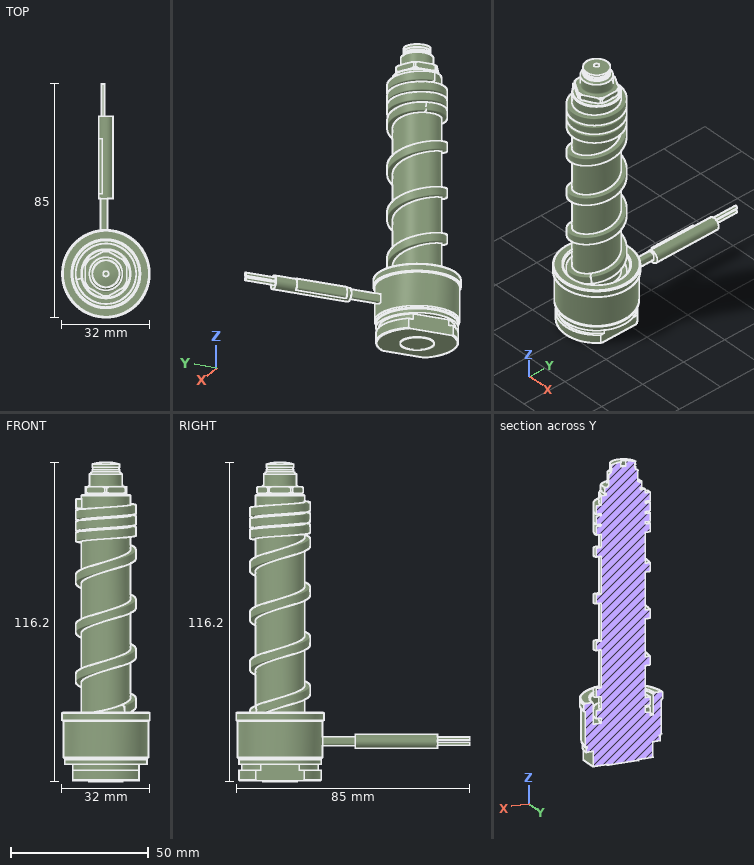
import cadquery as cq
import math

foot_height = 0.3
foot_radius = 6.2
base_radius = 15.0
base_chamfer = 0.3
flange_top = 4.2
groove_radius = 14.0
groove_top = 6.25
collar_top = 8.0
body_bottom = 8.35
body_radius = 15.5
body_chamfer = 0.5
rim_bottom = 22.0
rim_radius = 16.0
rim_chamfer = 0.4
housing_top = 25.25
flats_width = 24.2
bore_radius = 12.1
bore_chamfer = 0.5
bore_floor = 16.8

core_radius = 9.0
core_top = 104.2
core_chamfer = 0.3
neck_radius = 7.0
nut_bottom = 104.75
nut_top = 107.2
nut_flats_width = 15.0
nut_corner_diameter = 16.9
nut_chamfer = 0.4
stem_radius = 6.0
stem_fillet = 0.8
stem_top = 111.75
stem_chamfer = 0.9
tip_radius = 5.0
tip_groove_bottom = 113.3
tip_groove_top = 114.25
tip_groove_depth = 0.2
dome_bottom = 115.4
total_height = 116.2
tip_hole_diameter = 2.0
tip_hole_depth = 2.0

spring_outer_radius = 11.0
wire_core_overlap = 0.5
spring_inner_radius = core_radius - wire_core_overlap
wire_height = 3.45
wire_fillet = 0.4
wire_width = spring_outer_radius - spring_inner_radius
wire_centre_radius = (spring_outer_radius + spring_inner_radius) / 2
spring_top_angle = 191.0
spring_top_height = 101.1
tight_pitch = 4.0
wide_pitch = 18.0
upper_tight_turns = 3.05
wide_turns = 3.625
lower_turns = 1.35
ramp_turns = 0.35
points_per_turn = 12
spring_stretches = [
    (upper_tight_turns, tight_pitch, tight_pitch),
    (wide_turns, tight_pitch, wide_pitch),
    (lower_turns, wide_pitch, tight_pitch),
]

cable_height = 14.7
cable_start = 12.5
cable_width = 2.6
cable_depth = 3.4
cable_centre_x = -0.7
cable_left_fillet = 0.4
cable_right_fillet = 1.0
sleeve_start = 27.3
sleeve_length = 30.0
sleeve_radius = 2.6
sleeve_end = sleeve_start + sleeve_length
block_start = 29.1
block_length = 20.0
block_depth = 4.4
block_fillet = 0.8
lead_end = 69.0
lead_diameter = 1.2
lead_spacing = 1.9
lead_centre_x = -1.05
lead_overlap = 1.0


def disc(radius, bottom, top):
    return cq.Workplane("XY", origin=(0, 0, bottom)).circle(radius).extrude(top - bottom)


def make_housing():
    base = disc(base_radius, foot_height, flange_top).faces("<Z").chamfer(base_chamfer)
    base = base.union(disc(groove_radius, flange_top, groove_top))
    base = base.intersect(cq.Workplane("XY").box(flats_width, 2 * base_radius, 2 * groove_top))
    body = disc(body_radius, body_bottom, rim_bottom).faces("<Z").chamfer(body_chamfer)
    rim = disc(rim_radius, rim_bottom, housing_top).edges().chamfer(rim_chamfer)
    housing = (
        disc(foot_radius, 0, foot_height)
        .union(base)
        .union(disc(base_radius, groove_top, collar_top))
        .union(disc(base_radius - base_chamfer, collar_top, body_bottom))
        .union(body)
        .union(rim)
    )
    bore = disc(bore_radius, bore_floor, housing_top)
    bore_mouth = cq.Solid.makeCone(
        bore_radius,
        bore_radius + bore_chamfer,
        bore_chamfer,
        pnt=cq.Vector(0, 0, housing_top - bore_chamfer),
    )
    return housing.cut(bore).cut(bore_mouth)


def make_core():
    core = disc(core_radius, bore_floor, core_top).faces(">Z").chamfer(core_chamfer)
    return core.union(disc(neck_radius, core_top, nut_bottom))


def make_nut():
    hexagon = (
        cq.Workplane("XY", origin=(0, 0, nut_bottom))
        .polygon(6, nut_flats_width, circumscribed=True)
        .extrude(nut_top - nut_bottom)
    )
    blank = disc(nut_corner_diameter / 2, nut_bottom, nut_top).edges().chamfer(nut_chamfer)
    return hexagon.intersect(blank)


def make_tip():
    groove_floor = tip_radius - tip_groove_depth
    dome_rise = total_height - dome_bottom
    dome_sphere_radius = (tip_radius**2 + dome_rise**2) / (2 * dome_rise)
    dome_mid_x = tip_radius / 2
    dome_mid_z = total_height - dome_sphere_radius + math.sqrt(dome_sphere_radius**2 - dome_mid_x**2)
    tip = (
        cq.Workplane("XZ")
        .moveTo(0, nut_top)
        .lineTo(stem_radius + stem_fillet, nut_top)
        .radiusArc((stem_radius, nut_top + stem_fillet), stem_fillet)
        .lineTo(stem_radius, stem_top)
        .lineTo(tip_radius, stem_top + stem_chamfer)
        .lineTo(tip_radius, tip_groove_bottom)
        .lineTo(groove_floor, tip_groove_bottom)
        .lineTo(groove_floor, tip_groove_top)
        .lineTo(tip_radius, tip_groove_top)
        .lineTo(tip_radius, dome_bottom)
        .threePointArc((dome_mid_x, dome_mid_z), (0, total_height))
        .close()
        .revolve(360, (0, 0, 0), (0, 1, 0))
    )
    hole = disc(tip_hole_diameter / 2, total_height - tip_hole_depth, total_height)
    return tip.cut(hole)


def coil_drop(turns, start_pitch, end_pitch):
    """Descent after a number of turns; the pitch changes evenly over the first ramp_turns."""
    pitch_gain = end_pitch - start_pitch
    if turns < ramp_turns:
        return start_pitch * turns + pitch_gain * turns**2 / (2 * ramp_turns)
    return end_pitch * turns - pitch_gain * ramp_turns / 2


def make_coil(start_angle, start_height, turns, start_pitch, end_pitch):
    """Sweep the wire down around the core from the given angle and height."""

    def coil_curve(radius):
        def point(fraction):
            angle = math.radians(start_angle - 360 * turns * fraction)
            return (
                radius * math.cos(angle),
                radius * math.sin(angle),
                start_height - coil_drop(turns * fraction, start_pitch, end_pitch),
            )

        return cq.Workplane("XY").parametricCurve(point, N=math.ceil(points_per_turn * turns))

    angle = math.radians(start_angle)
    radial = (math.cos(angle), math.sin(angle), 0)
    tangential = (math.sin(angle), -math.cos(angle), 0)
    centre = (wire_centre_radius * radial[0], wire_centre_radius * radial[1], start_height)
    section = cq.Sketch().rect(wire_width, wire_height).vertices(">X").fillet(wire_fillet)
    plane = cq.Plane(origin=centre, xDir=radial, normal=tangential)
    guide = coil_curve(2 * wire_centre_radius)
    path = coil_curve(wire_centre_radius)
    return cq.Workplane(plane).placeSketch(section).sweep(path, auxSpine=guide)


def make_spring():
    angle = spring_top_angle
    height = spring_top_height
    coils = []
    for turns, start_pitch, end_pitch in spring_stretches:
        coils.append(make_coil(angle, height, turns, start_pitch, end_pitch))
        angle -= 360 * turns
        height -= coil_drop(turns, start_pitch, end_pitch)
    return coils


def make_bar(width, depth, centre_x, start, length):
    return cq.Workplane("XY").box(width, length, depth).translate(
        (centre_x, start + length / 2, cable_height)
    )


def make_rod(radius, centre_x, centre_z, start, end):
    return cq.Workplane("XZ", origin=(centre_x, start, centre_z)).circle(radius).extrude(start - end)


def make_cable():
    cable = make_bar(cable_width, cable_depth, cable_centre_x, cable_start, sleeve_end - cable_start)
    cable = cable.edges("|Y and <X").fillet(cable_left_fillet)
    cable = cable.edges("|Y and >X").fillet(cable_right_fillet)
    sleeve = make_rod(sleeve_radius, 0, cable_height, sleeve_start, sleeve_end)
    block = make_bar(sleeve_radius, block_depth, -sleeve_radius / 2, block_start, block_length)
    block = block.edges("|Y and <X").fillet(block_fillet)
    cable = cable.union(sleeve).union(block)
    for side in (-1, 1):
        lead_z = cable_height + side * lead_spacing / 2
        cable = cable.union(
            make_rod(lead_diameter / 2, lead_centre_x, lead_z, sleeve_end - lead_overlap, lead_end)
        )
    return cable


core_with_spring = make_core()
for coil in make_spring():
    core_with_spring = core_with_spring.union(coil, clean=False)

result = make_housing().union(make_nut()).union(make_tip()).union(make_cable())
result = result.union(core_with_spring, clean=False)